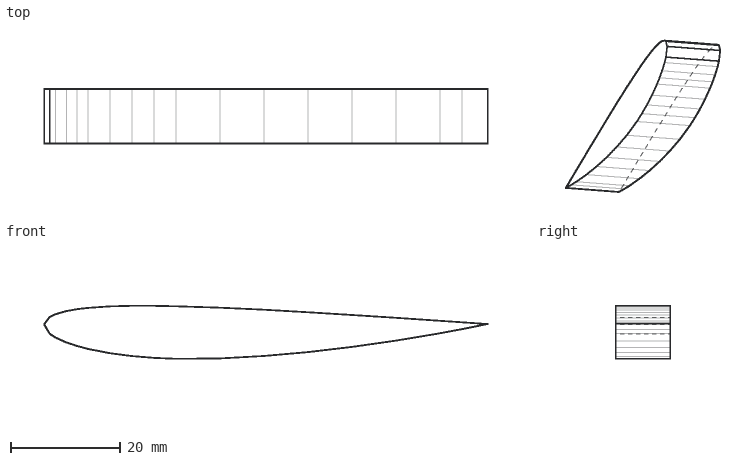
import cadquery as cq

LENGTH = 81.3
SPAN = 10.0

NACA_2412 = [
    (1.25, 2.15, -1.65),
    (2.5, 2.99, -2.27),
    (5, 4.13, -3.01),
    (7.5, 4.96, -3.46),
    (10, 5.63, -3.75),
    (15, 6.61, -4.10),
    (20, 7.26, -4.23),
    (25, 7.67, -4.22),
    (30, 7.88, -4.12),
    (40, 7.80, -3.80),
    (50, 7.24, -3.34),
    (60, 6.36, -2.76),
    (70, 5.18, -2.14),
    (80, 3.75, -1.50),
    (90, 2.08, -0.82),
    (95, 1.14, -0.48),
]
BLUNT_STATION = 100.0
BLUNT_ORDINATE = 0.13

ORDINATE_DECIMALS = 3


def sharp_trailing_edge():
    """Extend the last panel of each side, in percent of chord, until they meet."""
    station, cambered, flat = NACA_2412[-1]
    panel_length = BLUNT_STATION - station
    cambered_slope = (BLUNT_ORDINATE - cambered) / panel_length
    flat_slope = (-BLUNT_ORDINATE - flat) / panel_length
    reach = (cambered - flat) / (flat_slope - cambered_slope)
    return station + reach, cambered + cambered_slope * reach


def section_outline():
    """Flat-sided outline in XZ, with the cambered side facing down."""
    tip_station, tip_ordinate = sharp_trailing_edge()
    percent_size = LENGTH / tip_station
    upper = [(station, flat) for station, _, flat in NACA_2412]
    lower = [(station, cambered) for station, cambered, _ in NACA_2412]
    loop = [(0, 0)] + upper + [(tip_station, tip_ordinate)] + lower[::-1]
    return [
        (station * percent_size, -round(ordinate * percent_size, ORDINATE_DECIMALS))
        for station, ordinate in loop
    ]


result = cq.Workplane("XZ").polyline(section_outline()).close().extrude(-SPAN)